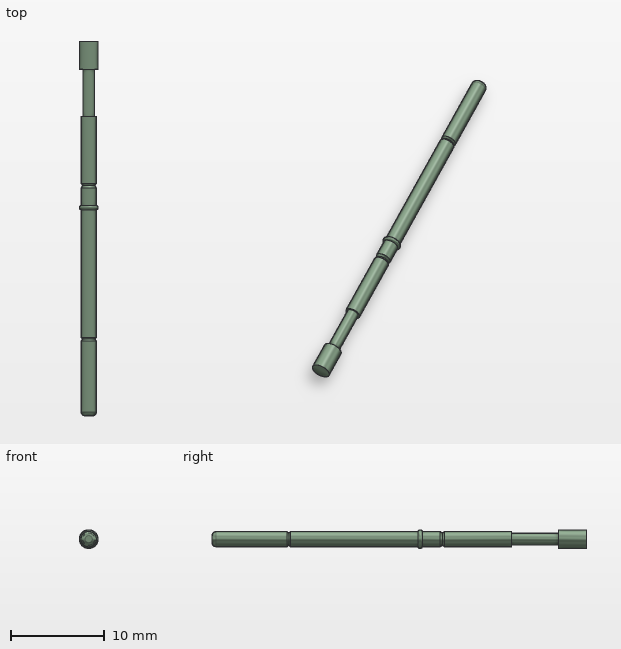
import cadquery as cq

total_length = 40.0

head_radius = 1.0
head_length = 3.0
neck_radius = 0.65
neck_length = 5.0

barrel_radius = 0.82
foot_rounding = 0.45
barrel_length = total_length - head_length - neck_length

ring_radius = head_radius
ring_center = 22.25
ring_width = 0.5

grooves = [(8.2, 0.4), (24.6, 0.5)]
groove_depth = 0.15


def cylinder(radius, start, length):
    """Cylinder along +Y that begins at Y = start."""
    return cq.Workplane("XZ", origin=(0, start, 0)).circle(radius).extrude(-length)


def revolve_around_axis(profile):
    """Full turn of a closed XY profile around the Y axis."""
    return profile.revolve(360, (0, 0, 0), (0, 1, 0))


def press_ring():
    """Disc whose rim is an arc that rises from the barrel surface and returns to it."""
    start = ring_center - ring_width / 2
    end = ring_center + ring_width / 2
    profile = (
        cq.Workplane("XY")
        .moveTo(0, start)
        .lineTo(barrel_radius, start)
        .threePointArc((ring_radius, ring_center), (barrel_radius, end))
        .lineTo(0, end)
        .close()
    )
    return revolve_around_axis(profile)


def groove_cutter(center, width):
    """Ring of triangular section with its point at the bottom of the groove."""
    profile = cq.Workplane("XY").polyline([
        (barrel_radius, center - width / 2),
        (barrel_radius - groove_depth, center),
        (barrel_radius, center + width / 2),
    ]).close()
    return revolve_around_axis(profile)


barrel = cylinder(barrel_radius, 0, barrel_length).faces("<Y").edges().fillet(foot_rounding)
for groove_center, groove_width in grooves:
    barrel = barrel.cut(groove_cutter(groove_center, groove_width))

neck = cylinder(neck_radius, barrel_length, neck_length)
head = cylinder(head_radius, barrel_length + neck_length, head_length)

result = barrel.union(press_ring()).union(neck).union(head)